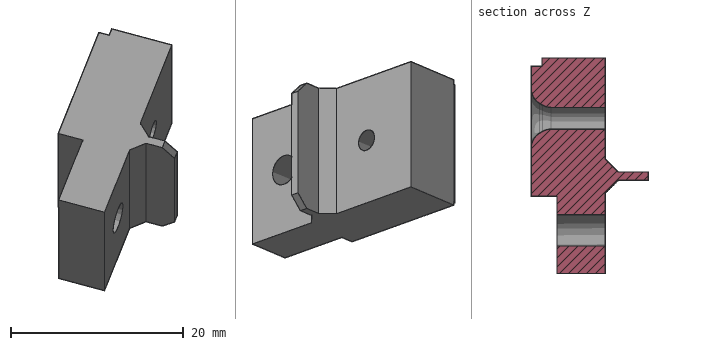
import cadquery as cq
import math

height = 15.8
length = 25.0
body_back_x = 8.6
ledge_x = 3.0
ledge_length = 8.95

rebate_depth = 1.25
rebate_width = 0.95

blade_tip_x = 13.6
blade_y = 11.3
blade_thickness = 1.0
root_flare = 1.5
tip_chamfer = 1.5

hole_z = height / 2
plain_hole_y = 5.0
plain_hole_diameter = 3.6
nozzle_y = 18.0
bore_radius = 1.25
countersink_radius = 2.285
cone_half_angle = math.radians(30)
rounding_radius = 2.0


def make_block():
    """Stepped block: thin end at low Y, thick end at high Y."""
    outline = [
        (ledge_x, 0),
        (body_back_x, 0),
        (body_back_x, length),
        (0, length),
        (0, ledge_length),
        (ledge_x, ledge_length),
    ]
    return cq.Workplane("XY").polyline(outline).close().extrude(height)


def make_rebate():
    """L-shaped cut around the far end and bottom edge of the front face."""
    thick_length = length - ledge_length
    end_cut = cq.Workplane("XY").box(rebate_depth, rebate_width, height, centered=False)
    end_cut = end_cut.translate((0, length - rebate_width, 0))
    bottom_cut = cq.Workplane("XY").box(rebate_depth, thick_length, rebate_width, centered=False)
    bottom_cut = bottom_cut.translate((0, ledge_length, 0))
    return end_cut.union(bottom_cut)


def make_blade():
    """Thin full-height blade that widens at 45 degrees where it meets the block."""
    half = blade_thickness / 2
    flare_end_x = body_back_x + root_flare
    outline = [
        (ledge_x, blade_y - half - root_flare),
        (body_back_x, blade_y - half - root_flare),
        (flare_end_x, blade_y - half),
        (blade_tip_x, blade_y - half),
        (blade_tip_x, blade_y + half),
        (flare_end_x, blade_y + half),
        (body_back_x, blade_y + half + root_flare),
        (ledge_x, blade_y + half + root_flare),
    ]
    blade = cq.Workplane("XY").polyline(outline).close().extrude(height)
    return blade.edges("|Y and >X").chamfer(tip_chamfer)


def make_plain_hole():
    """Through hole in the thin end."""
    hole = cq.Workplane("YZ").center(plain_hole_y, hole_z)
    return hole.circle(plain_hole_diameter / 2).extrude(body_back_x)


def make_nozzle():
    """Through hole whose conical mouth is blended into the front face and the bore."""
    face_turn = math.pi / 2 - cone_half_angle
    bore_turn = cone_half_angle
    cone_depth = (countersink_radius - bore_radius) / math.tan(cone_half_angle)

    mouth_radius = countersink_radius + rounding_radius * math.tan(face_turn / 2)
    bore_start = cone_depth + rounding_radius * math.tan(bore_turn / 2)
    bore_center_radius = bore_radius + rounding_radius

    def face_rounding(angle):
        """Point (depth, radius) on the outer rounding, at an angle from the front face."""
        return (
            rounding_radius * (1 - math.cos(angle)),
            mouth_radius - rounding_radius * math.sin(angle),
        )

    def bore_rounding(angle):
        """Point (depth, radius) on the inner rounding, at an angle from the bore wall."""
        return (
            bore_start - rounding_radius * math.sin(angle),
            bore_center_radius - rounding_radius * math.cos(angle),
        )

    profile = (
        cq.Workplane("XY")
        .lineTo(0, mouth_radius)
        .threePointArc(face_rounding(face_turn / 2), face_rounding(face_turn))
        .lineTo(*bore_rounding(bore_turn))
        .threePointArc(bore_rounding(bore_turn / 2), bore_rounding(0))
        .lineTo(body_back_x, bore_radius)
        .lineTo(body_back_x, 0)
        .close()
    )
    nozzle = profile.revolve(360, (0, 0, 0), (1, 0, 0))
    return nozzle.translate((0, nozzle_y, hole_z))


result = (
    make_block()
    .union(make_blade())
    .cut(make_rebate())
    .cut(make_plain_hole())
    .cut(make_nozzle())
)